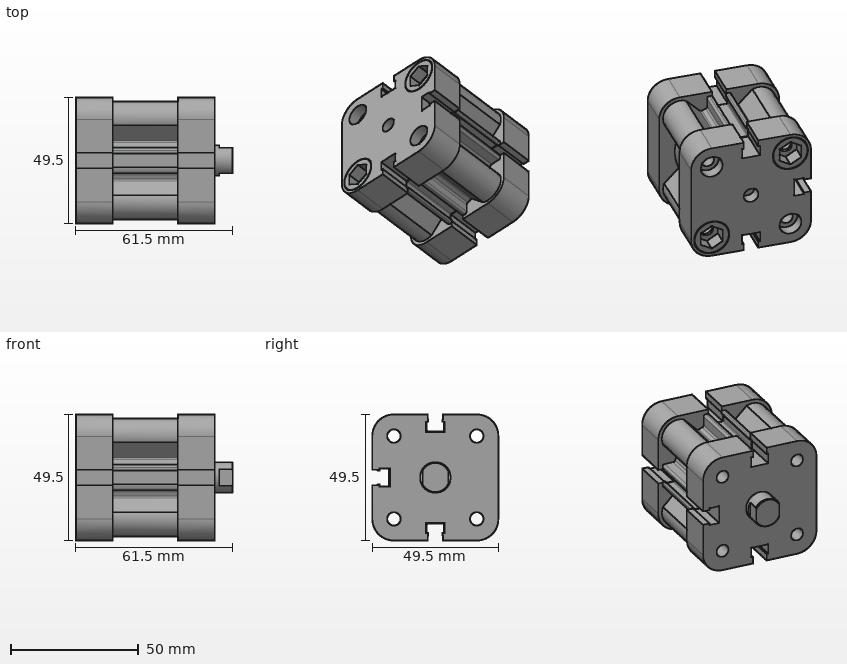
import cadquery as cq
import math

overall_length = 61.5
body_length = 54.5
cap_length = 14.5
tube_length = body_length - 2 * cap_length

cap_width = 49.5
half_width = cap_width / 2
corner_offset = 16.25
cap_corner_radius = half_width - corner_offset
centre_hole_diameter = 6.0
centre_hole_depth = 5.0

bore_diameter = 5.15
counterbore_diameter = 9.0
counterbore_depth = 5.0
head_diameter = 14.0
head_clearance = 0.25
head_length = 7.4
socket_across_flats = 9.0
socket_depth = 6.0

tube_radius = 18.3
post_radius = 6.95
web_width = 12.7
rib_depth = 1.85
rib_half_width = 5.0
rib_round = 0.9
rib_fillet = 0.9
web_fillet = 0.75

cap_slot = (2.95, 2.8, 3.7, 7.0)
tube_slot = (2.7, 3.0, 3.4, 6.6)
slot_lip_round = 0.5
slot_floor_round = 0.3
slot_angles = (0, 180, 270)

rod_diameter = 12.0
rod_flat_width = 10.0
rod_flat_length = 5.2
rod_chamfer = 0.3

screw_corners = [(-corner_offset, corner_offset), (corner_offset, -corner_offset)]
plain_corners = [(-corner_offset, -corner_offset), (corner_offset, corner_offset)]
all_corners = screw_corners + plain_corners


def section(x):
    """Workplane across the X axis: local x is Y, local y is Z, extruding toward +X."""
    return cq.Workplane("YZ", origin=(x, 0, 0))


def turned(shape, angle):
    """The shape turned about the X axis."""
    return shape.rotate((0, 0, 0), (1, 0, 0), angle)


def slot_cutter(x, length, profile):
    """Mouth and inner chamber of a T-slot open toward -Z, as two cutters to be joined."""
    opening, lip_depth, inner, floor_depth = profile
    floor_z = floor_depth - half_width
    mouth = section(x).center(0, floor_z - half_width / 2).rect(2 * opening, half_width).extrude(length)
    chamber_depth = floor_depth - lip_depth
    chamber = section(x).center(0, floor_z - chamber_depth / 2).rect(2 * inner, chamber_depth).extrude(length)
    return mouth, chamber


def make_cap(x):
    cap = section(x).rect(cap_width, cap_width).extrude(cap_length)
    cap = cap.edges("|X").fillet(cap_corner_radius)
    mouth, chamber = slot_cutter(x, cap_length, cap_slot)
    for angle in slot_angles:
        cap = cap.cut(turned(mouth.union(chamber), angle))
    return cap


def fillet_at_radius(shape, distance, fillet_radius):
    """Fillets the edges along X that lie at the given distance from the X axis."""

    def is_at_distance(edge):
        centre = edge.Center()
        return math.isclose(math.hypot(centre.y, centre.z), distance, abs_tol=0.005)

    return shape.edges("|X").filter(is_at_distance).fillet(fillet_radius)


def make_web():
    """Web across the tube, each end rounded about a tie-rod axis to form a corner post."""
    axis_distance = math.hypot(corner_offset, corner_offset)
    side = web_width / 2
    flat_end = axis_distance + math.sqrt(post_radius**2 - side**2)
    tip = axis_distance + post_radius
    outline = (
        section(cap_length)
        .moveTo(-flat_end, -side)
        .lineTo(flat_end, -side)
        .threePointArc((tip, 0), (flat_end, side))
        .lineTo(-flat_end, side)
        .threePointArc((-tip, 0), (-flat_end, -side))
        .close()
    )
    return outline.extrude(tube_length)


def make_tube():
    """Round tube with two diagonal webs ending in corner posts and a slotted rib on each slotted side."""
    tube = section(cap_length).circle(tube_radius).extrude(tube_length)
    web = make_web()
    for angle in (45, 135):
        tube = tube.union(turned(web, angle))
    tube = fillet_at_radius(tube, tube_radius, web_fillet)

    rib_height = half_width - rib_depth
    rib = section(cap_length).center(0, -rib_height / 2).rect(2 * rib_half_width, rib_height)
    rib = rib.extrude(tube_length).edges("|X and <Z").fillet(rib_round)
    for angle in slot_angles:
        tube = tube.union(turned(rib, angle))
    tube = fillet_at_radius(tube, tube_radius, rib_fillet)

    mouth, chamber = slot_cutter(cap_length, tube_length, tube_slot)
    chamber = chamber.edges("|X and >Z").fillet(slot_floor_round)
    mouth = mouth.union(chamber)
    for angle in slot_angles:
        tube = tube.cut(turned(mouth, angle))
    opening = tube_slot[0]
    return fillet_at_radius(tube, math.hypot(opening, rib_height), slot_lip_round)


def make_housing():
    housing = make_tube().union(make_cap(0)).union(make_cap(body_length - cap_length))
    bores = section(0).pushPoints(all_corners).circle(bore_diameter / 2).extrude(body_length)
    counterbores = section(0).pushPoints(plain_corners).circle(counterbore_diameter / 2)
    head_seats = section(0).pushPoints(screw_corners).circle(head_diameter / 2 + head_clearance)
    centre_hole = section(0).circle(centre_hole_diameter / 2).extrude(centre_hole_depth)
    return (
        housing.cut(bores)
        .cut(counterbores.extrude(counterbore_depth))
        .cut(head_seats.extrude(head_length))
        .cut(centre_hole)
    )


def make_screw(y, z):
    """Flush screw head with a hexagon socket, flats facing +Y and -Y, and a bore right through."""
    head = section(0).center(y, z).circle(head_diameter / 2).extrude(head_length)
    bore = section(0).center(y, z).circle(bore_diameter / 2).extrude(head_length)
    across_corners = socket_across_flats / math.cos(math.radians(30))
    socket = section(0).polygon(6, across_corners).extrude(socket_depth)
    return head.cut(bore).cut(turned(socket, 90).translate((0, y, z)))


def make_rod():
    """Rod end standing on the +X cap, with two wrench flats facing -Y and +Y."""
    rod = section(body_length).circle(rod_diameter / 2).extrude(overall_length - body_length)
    rod = rod.faces(">X").edges().chamfer(rod_chamfer)
    flat_start = overall_length - rod_flat_length
    flats = (
        section(flat_start)
        .rect(2 * rod_diameter, rod_diameter)
        .rect(rod_flat_width, rod_diameter)
        .extrude(rod_flat_length)
    )
    return rod.cut(flats)


housing = make_housing()
rod = make_rod()
screws = [make_screw(y, z) for y, z in screw_corners]

result = cq.Compound.makeCompound([housing.val(), rod.val(), *[screw.val() for screw in screws]])